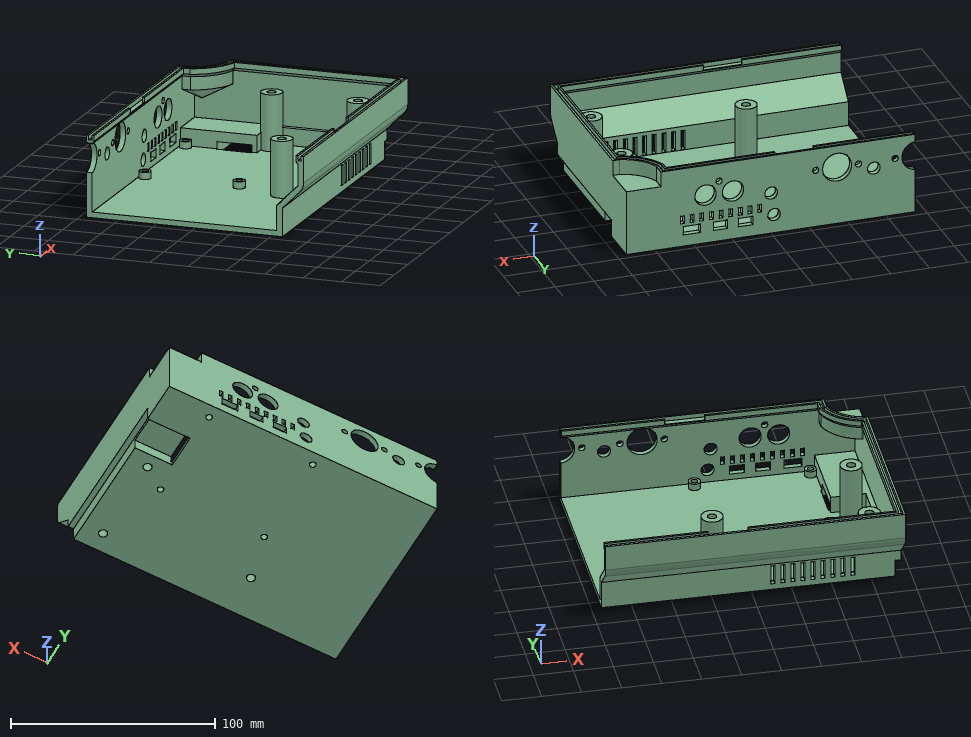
import cadquery as cq
import math

LENGTH = 150
DEPTH = 113.0
HEIGHT = 42
WALL = 3
OVER = 7.5

SETBACK = 11.0
SLOPE_TOP = 25.6
SLOPE_BOTTOM = SLOPE_TOP - SETBACK
BEND_RADIUS = 6.7
INNER_SETBACK = 14.1
INNER_SLOPE_TOP = 26.8
INNER_SLOPE_BOTTOM = INNER_SLOPE_TOP - (INNER_SETBACK - WALL)

RIM_WIDTH = 4.0
RIM_BOTTOM = 37.6
RIM_STRAIGHT = 39.1
GROOVE_OUTER = 1.2
GROOVE_INNER = WALL
GROOVE_FLOOR = 39.6
NOTCH_START = 51.7
NOTCH_LENGTH = 20.1

CORNER_SIZE_X = 18
CORNER_SIZE_Y = 20.1
CORNER_RADIUS = 20.7
ARC_OFFSET = 1.5
ARC_X = LENGTH + ARC_OFFSET
ARC_Y = DEPTH
CORNER_FLOOR = 34.0
CORNER_UNDERSIDE = 30.9
CORNER_TIP = 22.2
TIP_SCALE = 0.01

STEP_DEPTH = 3
STEP_HEIGHT = 9
SHELF_TOP = 11.8
STEP_WALL = 2.7
SHELF_X = LENGTH - STEP_DEPTH - STEP_WALL
HOUSING_X = 126.7
HOUSING_Y = 70.2
OPENING_X = 126.1
OPENING_Y = 73.0
OPENING_WIDTH = 18
OPENING_TOP = 6.6

POST_DIAMETER = 11.0
POST_HOLE = 4.3
POST_TOP = 32.0
POSTS = [(59.8, 33), (136.0, 21), (136.0, 66)]
STANDOFF_DIAMETER = 6
STANDOFF_HOLE = 3.1
STANDOFF_TOP = 6.6
STANDOFFS = [(x, y) for x in (66, 124.0) for y in (57.5, 106.5)]

VENT_COUNT = 9
VENT_SPAN = 40.0
VENT_PITCH = VENT_SPAN / (VENT_COUNT - 1)
VENT_WIDTH = 2.0
FRONT_VENT_X = 85.8
FRONT_VENT_BOTTOM = 3.3
FRONT_VENT_TOP = 13.5
BACK_VENT_X = FRONT_VENT_X - VENT_PITCH
BACK_VENT_BOTTOM = 12.3
BACK_VENT_TOP = 16.3

LARGE_HOLE = 15
MEDIUM_HOLE = 11.0
JACK_HOLE = 6.5
SCREW_HOLE = 3.1
SOCKET_Z = 30.5
SOCKET_SCREW_OFFSET = 11.1
SOCKET_XS = (-0.6, 40.6)
ROUND_HOLES = [
    (21.6, 27, JACK_HOLE),
    (74.8, 21.7, JACK_HOLE),
    (73.3, 9.9, JACK_HOLE),
    (94.6, 26.0, MEDIUM_HOLE),
    (108.9, 26.0, MEDIUM_HOLE),
    (101.8, 32.4, SCREW_HOLE),
]
PORTS = [(84.3, 91.8), (97.5, 104.7), (111.5, 120.4)]
PORT_BOTTOM = 6.1
PORT_TOP = 10.6


def box(x0, x1, y0, y1, z0, z1):
    """Block between two opposite corners."""
    return cq.Workplane("XY").box(x1 - x0, y1 - y0, z1 - z0, centered=False).translate((x0, y0, z0))


def corner_points(inset):
    """Start, middle and end of the corner arc where it meets its straight stubs, moved outward by inset."""
    radius = CORNER_RADIUS + inset
    start_x = LENGTH - CORNER_SIZE_X - inset
    end_y = DEPTH - CORNER_SIZE_Y - inset
    start_y = ARC_Y - math.sqrt(radius**2 - (ARC_X - start_x) ** 2)
    end_x = ARC_X - math.sqrt(radius**2 - (ARC_Y - end_y) ** 2)
    diagonal = radius * math.sqrt(0.5)
    return (start_x, start_y), (ARC_X - diagonal, ARC_Y - diagonal), (end_x, end_y)


def rim_outline(inset, z):
    """Plan of the case at height z, moved inward by inset and run past the open left end."""
    start, middle, end = corner_points(inset)
    return (
        cq.Workplane("XY", origin=(0, 0, z))
        .moveTo(-OVER, inset)
        .lineTo(LENGTH - inset, inset)
        .lineTo(LENGTH - inset, end[1])
        .lineTo(*end)
        .threePointArc(middle, start)
        .lineTo(start[0], DEPTH - inset)
        .lineTo(-OVER, DEPTH - inset)
        .close()
    )


def corner_outline(inset, x_end, y_end, z):
    """Plan of the recessed corner at height z, from its arc out to x_end and y_end."""
    start, middle, end = corner_points(inset)
    return (
        cq.Workplane("XY", origin=(0, 0, z))
        .moveTo(x_end, end[1])
        .lineTo(*end)
        .threePointArc(middle, start)
        .lineTo(start[0], y_end)
        .lineTo(x_end, y_end)
        .close()
    )


def make_shell():
    """Solid case profile, hollowed up to the rim and open at the left end."""
    outside = (
        cq.Workplane("YZ")
        .polyline([
            (SETBACK, 0), (DEPTH, 0), (DEPTH, HEIGHT), (0, HEIGHT), (0, SLOPE_TOP), (SETBACK, SLOPE_BOTTOM),
        ])
        .close()
        .extrude(LENGTH)
        .edges(cq.selectors.NearestToPointSelector((LENGTH / 2, 0, SLOPE_TOP)))
        .fillet(BEND_RADIUS)
    )
    inside = (
        cq.Workplane("YZ", origin=(-OVER, 0, 0))
        .polyline([
            (INNER_SETBACK, WALL), (DEPTH - WALL, WALL), (DEPTH - WALL, RIM_BOTTOM),
            (WALL, RIM_BOTTOM), (WALL, INNER_SLOPE_TOP), (INNER_SETBACK, INNER_SLOPE_BOTTOM),
        ])
        .close()
        .extrude(OVER + LENGTH - WALL)
    )
    return outside.cut(inside)


def add_corner(shell):
    """Corner floor and wall, carried by a support that tapers down to a point."""
    outline = corner_outline(WALL, LENGTH - WALL, DEPTH - WALL, CORNER_UNDERSIDE)
    base = outline.val()
    start, _, end = corner_points(0)
    tip_centre = cq.Vector(end[0], start[1], CORNER_TIP)
    above_tip = cq.Vector(end[0], start[1], CORNER_UNDERSIDE)
    tip = base.translate(above_tip * -1).scale(TIP_SCALE).translate(tip_centre)
    support = cq.Solid.makeLoft([tip, base], True)
    wall_block = outline.extrude(RIM_BOTTOM - CORNER_UNDERSIDE)
    return shell.union(wall_block).union(cq.Workplane(support))


def cut_rim(shell):
    """Open the top, groove the rim, notch its inner rib and recess the corner."""
    flare = cq.Solid.makeLoft(
        [rim_outline(WALL, RIM_BOTTOM).val(), rim_outline(RIM_WIDTH, RIM_STRAIGHT).val()], True
    )
    mouth = rim_outline(RIM_WIDTH, RIM_STRAIGHT).extrude(HEIGHT - RIM_STRAIGHT)
    groove_height = HEIGHT - GROOVE_FLOOR
    groove = (
        rim_outline(GROOVE_OUTER, GROOVE_FLOOR).extrude(groove_height)
        .cut(rim_outline(GROOVE_INNER, GROOVE_FLOOR).extrude(groove_height))
    )
    notch = box(
        NOTCH_START, NOTCH_START + NOTCH_LENGTH, GROOVE_INNER, DEPTH - GROOVE_INNER, GROOVE_FLOOR, HEIGHT
    )
    recess = corner_outline(0, LENGTH + OVER, DEPTH + OVER, CORNER_FLOOR).extrude(HEIGHT - CORNER_FLOOR)
    return shell.cut(cq.Workplane(flare)).cut(mouth).cut(groove).cut(notch).cut(recess)


def add_right_step(shell):
    """Step the foot of the right wall inward as far back as the cable opening in its housing."""
    inner_x = LENGTH - STEP_DEPTH
    back_y = DEPTH - WALL
    shelf = box(SHELF_X, inner_x, INNER_SETBACK, back_y, WALL, SHELF_TOP)
    housing = box(HOUSING_X, inner_x, HOUSING_Y, back_y, WALL, SHELF_TOP)
    opening_back = OPENING_Y + OPENING_WIDTH
    step = box(inner_x, LENGTH + OVER, -OVER, opening_back, 0, STEP_HEIGHT)
    opening = box(OPENING_X, LENGTH + OVER, OPENING_Y, opening_back, 0, OPENING_TOP)
    return shell.union(shelf).union(housing).cut(step).cut(opening)


def add_pillars(shell, centres, diameter, hole, top):
    """Round pillars on the floor, each drilled right through it."""
    floor = cq.Workplane("XY", origin=(0, 0, WALL))
    pillars = floor.pushPoints(centres).circle(diameter / 2).extrude(top - WALL)
    holes = cq.Workplane("XY").pushPoints(centres).circle(hole / 2).extrude(top)
    return shell.union(pillars).cut(holes)


def cut_vents(shell, first_x, y0, y1, bottom, top):
    """Row of upright slots through one long wall."""
    for i in range(VENT_COUNT):
        left = first_x + i * VENT_PITCH - VENT_WIDTH / 2
        shell = shell.cut(box(left, left + VENT_WIDTH, y0, y1, bottom, top))
    return shell


def cut_back_openings(shell):
    """Round holes and rectangular ports through the back wall."""
    holes = list(ROUND_HOLES)
    for x in SOCKET_XS:
        holes.append((x, SOCKET_Z, LARGE_HOLE))
        holes.append((x - SOCKET_SCREW_OFFSET, SOCKET_Z, SCREW_HOLE))
        holes.append((x + SOCKET_SCREW_OFFSET, SOCKET_Z, SCREW_HOLE))
    for x, z, diameter in holes:
        drill = cq.Workplane("XZ", origin=(x, DEPTH, z)).circle(diameter / 2).extrude(WALL)
        shell = shell.cut(drill)
    for left, right in PORTS:
        shell = shell.cut(box(left, right, DEPTH - WALL, DEPTH, PORT_BOTTOM, PORT_TOP))
    return shell


result = make_shell()
result = add_corner(result)
result = cut_rim(result)
result = add_right_step(result)
result = add_pillars(result, POSTS, POST_DIAMETER, POST_HOLE, POST_TOP)
result = add_pillars(result, STANDOFFS, STANDOFF_DIAMETER, STANDOFF_HOLE, STANDOFF_TOP)
result = cut_vents(result, FRONT_VENT_X, SETBACK, INNER_SETBACK, FRONT_VENT_BOTTOM, FRONT_VENT_TOP)
result = cut_vents(result, BACK_VENT_X, DEPTH - WALL, DEPTH, BACK_VENT_BOTTOM, BACK_VENT_TOP)
result = cut_back_openings(result)